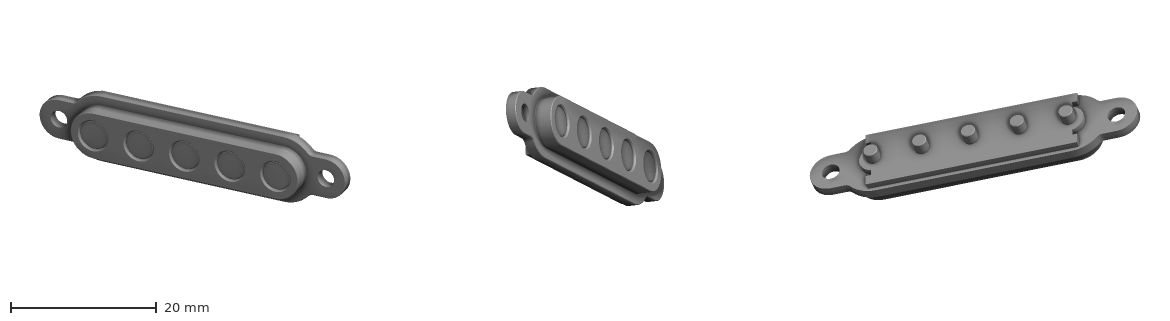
import cadquery as cq
import math

overall_length = 47.0
contact_count = 5
contact_pitch = 7.0
contact_radius = 2.1
pin_radius = 1.05

flange_height = 10.0
boss_radius = 3.5
ear_radius = 3.0
ear_hole_radius = 1.25
ear_blend = 1.0

boss_depth = 2.5
flange_thickness = 1.5
plate_thickness = 1.0
pin_length = 1.85

plate_length = 30.35
plate_height = 9.0
notch_height = 5.9
notch_depth = 0.75
plate_corner_fillet = 0.1
edge_break = 0.1
countersink_depth = 0.25
contact_recess = 0.3

corner_search = 0.05

end_contact_x = contact_pitch * (contact_count - 1) / 2
contact_places = [i * contact_pitch - end_contact_x for i in range(contact_count)]
flange_radius = flange_height / 2
ear_x = overall_length / 2 - ear_radius
flange_front = boss_depth
flange_back = flange_front + flange_thickness
plate_back = flange_back + plate_thickness


def plane_at(y):
    """Sketch plane across Y at depth y; local x and y run along X and Z."""
    return cq.Workplane("XZ", origin=(0, y, 0))


def prism(sketch, depth):
    """Extrude a sketch toward +Y, against the normal of its XZ plane."""
    return sketch.extrude(-depth)


def stadium(y, centre_x, radius, depth):
    """Round-ended bar whose end arcs are centred at +/- centre_x."""
    return prism(plane_at(y).slot2D(2 * (centre_x + radius), 2 * radius), depth)


def rod(x, y, radius, length):
    """Round bar along Y, starting at depth y."""
    return prism(plane_at(y).center(x, 0).circle(radius), length)


def make_flange():
    """Long round-ended flange with a narrower ear at each end."""
    flange = stadium(flange_front, end_contact_x, flange_radius, flange_thickness)
    ears = stadium(flange_front, ear_x, ear_radius, flange_thickness)
    flange = flange.union(ears)
    corner_x = end_contact_x + math.sqrt(flange_radius**2 - ear_radius**2)
    for x in (-corner_x, corner_x):
        corners = cq.selectors.BoxSelector(
            (x - corner_search, flange_front, -flange_radius),
            (x + corner_search, flange_back, flange_radius),
        )
        flange = flange.edges("|Y").edges(corners).fillet(ear_blend)
    return flange.faces("<Y").edges().chamfer(edge_break)


def add_boss(flange):
    """Round-ended boss in front of the flange, with a filleted root and a chamfered front."""
    body = flange.union(stadium(0, end_contact_x, boss_radius, boss_depth))
    flange_face = body.faces("|Y").faces("<Y[1]").val()
    root_edges = flange_face.innerWires()[0].Edges()
    body = cq.Workplane(body.val().fillet(edge_break, root_edges))
    return body.faces("<Y").edges().chamfer(edge_break)


def make_back_plate():
    """Rectangular plate behind the flange, with an open notch in each end."""
    plate = prism(plane_at(flange_back).rect(plate_length, plate_height), plate_thickness)
    notch_places = [(-plate_length / 2, 0), (plate_length / 2, 0)]
    notches = plane_at(flange_back).pushPoints(notch_places).rect(2 * notch_depth, notch_height)
    plate = plate.cut(prism(notches, plate_thickness))
    end_corners = plate.edges("|Y").edges("<X or >X")
    return end_corners.fillet(plate_corner_fillet)


def make_housing():
    """Flange, boss and back plate in one, with the ear holes and the contact holes."""
    housing = add_boss(make_flange()).union(make_back_plate())
    ear_holes = plane_at(flange_front).pushPoints([(-ear_x, 0), (ear_x, 0)]).circle(ear_hole_radius)
    housing = housing.cut(prism(ear_holes, flange_thickness))
    for x in contact_places:
        hole = rod(x, 0, contact_radius, plate_back)
        countersink = cq.Solid.makeCone(
            contact_radius + countersink_depth,
            contact_radius,
            countersink_depth,
            cq.Vector(x, 0, 0),
            cq.Vector(0, 1, 0),
        )
        housing = housing.cut(hole).cut(cq.Workplane(countersink))
    return housing


def make_contact(x):
    """Stepped round contact: a wide barrel through the housing and a thin pin behind it."""
    barrel = rod(x, contact_recess, contact_radius, plate_back - contact_recess)
    barrel = barrel.faces("<Y").edges().chamfer(edge_break)
    pin = rod(x, plate_back, pin_radius, pin_length)
    pin = pin.faces(">Y").edges().chamfer(edge_break)
    return barrel.union(pin)


housing = make_housing()
contacts = [make_contact(x) for x in contact_places]

result = cq.Compound.makeCompound([housing.val(), *[contact.val() for contact in contacts]])